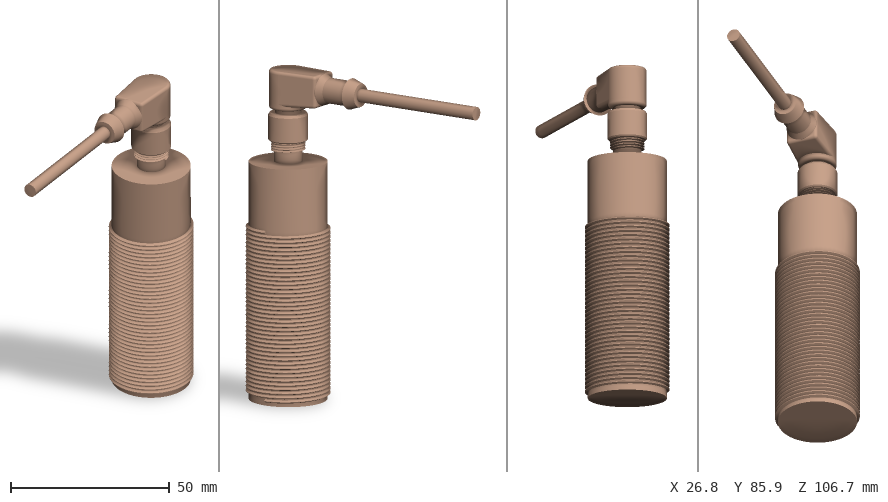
import cadquery as cq
import math

TOTAL_HEIGHT = 106.7
THREAD_DIAMETER = 26.8
TOTAL_LENGTH_Y = 85.9
CABLE_END_Y = THREAD_DIAMETER / 2 - TOTAL_LENGTH_Y

BARREL_RADIUS = 12.5
BARREL_HEIGHT = 76.8
BARREL_THREAD_START = 1.6
BARREL_THREAD_END = 56.0
BARREL_THREAD_TURNS = 40
BARREL_THREAD_ANGLE = 180
STUB_RADIUS = 4.5
STUB_THREAD_RADIUS = 5.4
STUB_THREAD_START = 80.3
STUB_THREAD_PITCH = 0.9
STUB_THREAD_TURNS = 8
STUB_THREAD_ANGLE = 0
CREST_SHARE = 0.15
BASE_SHARE = 0.9
THREAD_ROOT_OVERLAP = 0.2

NUT_RADIUS = 6.3
NUT_BOTTOM = 83.6
NUT_TOP = 92.6
NUT_TOP_BEVEL_WIDTH = 0.4
NUT_TOP_BEVEL_HEIGHT = 0.7
NUT_BOTTOM_BEVEL = 0.4
STUB_TOP = (NUT_BOTTOM + NUT_TOP) / 2

HEAD_RADIUS = 6.1
HEAD_BOTTOM = 94.0
NECK_RADIUS = 4.2
ARM_FRONT_Y = -13.9
ARM_FRONT_HALF_WIDTH = 5.1
GRIP_ROUND = 1.0
ARM_BOTTOM_AT_AXIS = 95.4
ARM_BOTTOM_AT_FRONT = 96.4
CABLE_Z = 101.7
CABLE_RADIUS = 2.1
SLEEVE_RADIUS = 4.1
SLEEVE_BASE_RADIUS = 5.0
SLEEVE_BASE_Y = -12.8
SLEEVE_CONE_END_Y = -16.1
COLLAR_START_Y = -24.2
COLLAR_END_Y = -28.0
COLLAR_BIG_RADIUS = 5.0
COLLAR_SMALL_RADIUS = 3.7


def cylinder(radius, bottom, top):
    """Upright cylinder on the main axis."""
    return cq.Workplane("XY").workplane(offset=bottom).circle(radius).extrude(top - bottom)


def thread_ridge(core_radius, crest_radius, start, pitch, turns, start_angle):
    """Right-hand helical ridge with a trapezoidal profile; start is the height of its first crest."""
    root_radius = core_radius - THREAD_ROOT_OVERLAP
    half_base = pitch * BASE_SHARE / 2
    half_crest = pitch * CREST_SHARE / 2
    path = cq.Wire.makeHelix(pitch, pitch * turns, core_radius)
    profile = cq.Workplane("XZ").polyline([
        (root_radius, -half_base),
        (crest_radius, -half_crest),
        (crest_radius, half_crest),
        (root_radius, half_base),
    ]).close()
    ridge = profile.sweep(cq.Workplane(path), isFrenet=True)
    return ridge.rotate((0, 0, 0), (0, 0, 1), start_angle).translate((0, 0, start))


def make_sensor():
    """Barrel and connector stub as one piece, both with raised threads."""
    pitch = (BARREL_THREAD_END - BARREL_THREAD_START) / BARREL_THREAD_TURNS
    barrel = cylinder(BARREL_RADIUS, 0, BARREL_HEIGHT)
    barrel_thread = thread_ridge(
        BARREL_RADIUS, THREAD_DIAMETER / 2,
        BARREL_THREAD_START, pitch, BARREL_THREAD_TURNS, BARREL_THREAD_ANGLE,
    )
    stub = cylinder(STUB_RADIUS, BARREL_HEIGHT, STUB_TOP)
    stub_thread = thread_ridge(
        STUB_RADIUS, STUB_THREAD_RADIUS,
        STUB_THREAD_START, STUB_THREAD_PITCH, STUB_THREAD_TURNS, STUB_THREAD_ANGLE,
    )
    return barrel.union(barrel_thread).union(stub.union(stub_thread))


def make_nut():
    """Bevelled sleeve, wide bore below for the stub and narrow bore above for the neck."""
    profile = [
        (STUB_THREAD_RADIUS, NUT_BOTTOM),
        (NUT_RADIUS - NUT_BOTTOM_BEVEL, NUT_BOTTOM),
        (NUT_RADIUS, NUT_BOTTOM + NUT_BOTTOM_BEVEL),
        (NUT_RADIUS, NUT_TOP - NUT_TOP_BEVEL_HEIGHT),
        (NUT_RADIUS - NUT_TOP_BEVEL_WIDTH, NUT_TOP),
        (NECK_RADIUS, NUT_TOP),
        (NECK_RADIUS, STUB_TOP),
        (STUB_THREAD_RADIUS, STUB_TOP),
    ]
    return cq.Workplane("XZ").polyline(profile).close().revolve(360, (0, 0, 0), (0, 1, 0))


def make_grip():
    """Round head and tapered arm in one outline; the arm has a sloping underside."""
    arm_reach = math.hypot(ARM_FRONT_HALF_WIDTH, ARM_FRONT_Y)
    arm_angle = math.atan2(-ARM_FRONT_Y, ARM_FRONT_HALF_WIDTH)
    tangent_angle = arm_angle - math.acos(HEAD_RADIUS / arm_reach)
    tangent_x = HEAD_RADIUS * math.cos(tangent_angle)
    tangent_y = -HEAD_RADIUS * math.sin(tangent_angle)
    outline = (
        cq.Workplane("XY").workplane(offset=HEAD_BOTTOM)
        .moveTo(-tangent_x, tangent_y)
        .threePointArc((0, HEAD_RADIUS), (tangent_x, tangent_y))
        .lineTo(ARM_FRONT_HALF_WIDTH, ARM_FRONT_Y)
        .lineTo(-ARM_FRONT_HALF_WIDTH, ARM_FRONT_Y)
        .close()
    )
    arm = outline.extrude(TOTAL_HEIGHT - HEAD_BOTTOM)
    slope = (ARM_BOTTOM_AT_FRONT - ARM_BOTTOM_AT_AXIS) / ARM_FRONT_Y
    back_y = HEAD_RADIUS + GRIP_ROUND
    front_y = ARM_FRONT_Y - GRIP_ROUND
    below_arm = (
        cq.Workplane("YZ")
        .polyline([
            (back_y, ARM_BOTTOM_AT_AXIS + slope * back_y),
            (front_y, ARM_BOTTOM_AT_AXIS + slope * front_y),
            (front_y, 0),
            (back_y, 0),
        ])
        .close()
        .extrude(back_y, both=True)
    )
    arm = arm.cut(below_arm)
    arm = arm.faces("<Y or >Z or <Z").edges().fillet(GRIP_ROUND)
    head_base = cylinder(HEAD_RADIUS, HEAD_BOTTOM, CABLE_Z).faces("<Z").edges().fillet(GRIP_ROUND)
    return arm.union(head_base)


def make_elbow():
    """Grip with the neck that stands on the stub and the sleeve that ends in a tapered collar."""
    neck = cylinder(NECK_RADIUS, STUB_TOP, HEAD_BOTTOM)
    sleeve_profile = [
        (0, SLEEVE_BASE_Y),
        (SLEEVE_BASE_RADIUS, SLEEVE_BASE_Y),
        (SLEEVE_BASE_RADIUS, ARM_FRONT_Y),
        (SLEEVE_RADIUS, SLEEVE_CONE_END_Y),
        (SLEEVE_RADIUS, COLLAR_START_Y),
        (COLLAR_BIG_RADIUS, COLLAR_START_Y),
        (COLLAR_SMALL_RADIUS, COLLAR_END_Y),
        (0, COLLAR_END_Y),
    ]
    sleeve = (
        cq.Workplane("XY").polyline(sleeve_profile).close()
        .revolve(360, (0, 0, 0), (0, 1, 0))
        .translate((0, 0, CABLE_Z))
    )
    return make_grip().union(neck).union(sleeve)


def make_cable():
    """Round cable from the collar face to its free end."""
    return (
        cq.Workplane("XZ", origin=(0, COLLAR_END_Y, CABLE_Z))
        .circle(CABLE_RADIUS)
        .extrude(COLLAR_END_Y - CABLE_END_Y)
    )


sensor = make_sensor()
nut = make_nut()
elbow = make_elbow()
cable = make_cable()

result = cq.Compound.makeCompound([
    sensor.solids().val(),
    nut.val(),
    elbow.solids().val(),
    cable.val(),
])